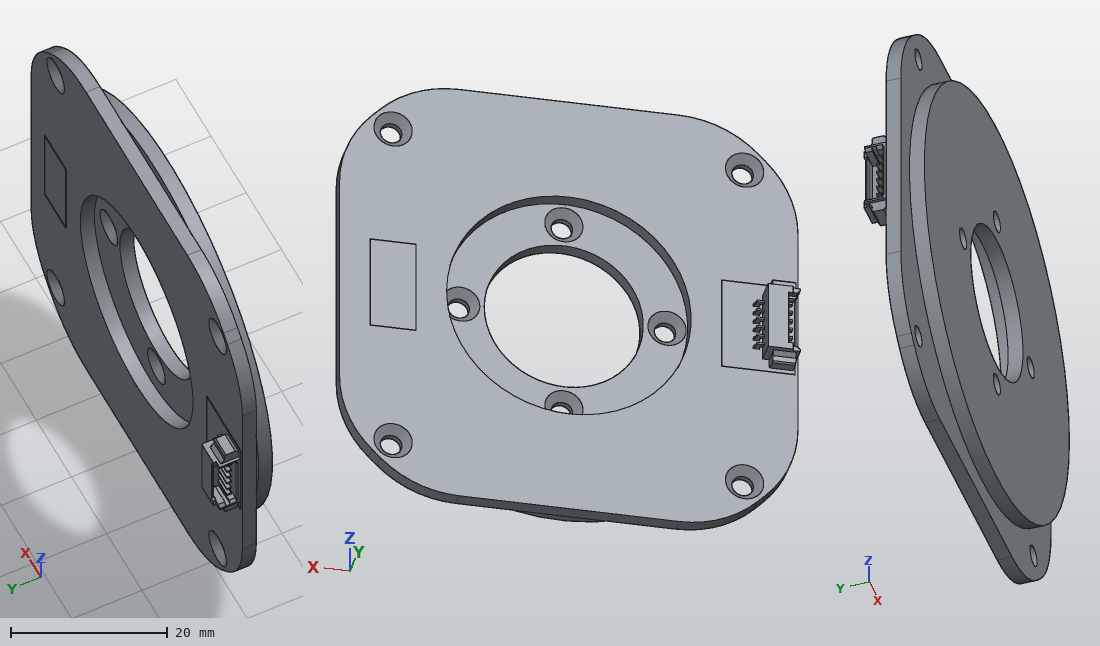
import cadquery as cq


disk_diameter = 58.0
disk_thickness = 2.0
disk_bore_diameter = 20.8
disk_hole_circle_radius = 13.5

plate_size = 60.0
plate_thickness = 2.0
plate_gap = 0.82
plate_front = disk_thickness + plate_gap
plate_back = plate_front + plate_thickness
corner_cut = 9.6
corner_fillet_radius = 14.5
plate_bore_diameter = 32.0
mount_hole_offset = 23.0

screw_hole_diameter = 2.8
countersink_diameter = 5.0
countersink_depth = (countersink_diameter - screw_hole_diameter) / 2

pad_height = 0.1
pad_width = 12.7
pad_inner_x = 20.0
far_pad_outer_x = 26.0
pad_top = plate_back + pad_height

housing_height = 3.33
housing_width = 9.25
housing_front_x = -29.6
housing_back_x = -25.3
housing_top = pad_top + housing_height
lip_depth = 1.0
lip_drop = 0.4
roof_setback = 1.6
roof_setback_width = 7.4

cavity_width = 7.9
cavity_depth = 3.3
cavity_bottom = pad_top + 0.5
cavity_top = housing_top - lip_drop
mouth_chamfer = 0.4
lip_chamfer = 0.2
key_bottom = pad_top + 1.4
key_height = 0.6
key_width = cavity_width + 2 * mouth_chamfer

tab_front_x = -29.2
tab_length = 3.0
tab_reach = 1.5
tab_height = 2.05
tab_corner = 0.2
tab_foot_rise = 0.5
tab_foot_inset = 0.5
tab_root_rise = 0.55

contact_count = 6
contact_pitch = 1.25
contact_width = 0.25
pin_height = 0.65
pin_bottom = pad_top + 0.9
pin_tip_x = -28.9
lead_top = pad_top + 1.25
lead_thickness = 0.6
lead_back_x = -24.3
foot_length = 0.2
foot_height = 0.45


def box(x_range, y_range, z_range):
    """Box between the given limits on each axis."""
    size = [high - low for low, high in (x_range, y_range, z_range)]
    return cq.Workplane("XY").box(*size, centered=False).translate((x_range[0], y_range[0], z_range[0]))


def centred(width):
    """Limits of a width centred on zero."""
    return -width / 2, width / 2


def cylinders(points, diameter, y_start, length):
    """Cylinders along +Y at (x, z) points."""
    return cq.Workplane("XZ", origin=(0, y_start, 0)).pushPoints(points).circle(diameter / 2).extrude(-length)


def screw_holes(points, front, back):
    """Cutters for screw holes with a 90 degree countersink at the back."""
    holes = cylinders(points, screw_hole_diameter, front, back - front)
    for x, z in points:
        countersink = cq.Solid.makeCone(
            screw_hole_diameter / 2,
            countersink_diameter / 2,
            countersink_depth,
            pnt=cq.Vector(x, back - countersink_depth, z),
            dir=cq.Vector(0, 1, 0),
        )
        holes = holes.union(cq.Workplane(countersink))
    return holes


def make_disk():
    """Round disk with a central bore and four screw holes around it."""
    r = disk_hole_circle_radius
    hole_points = [(r, 0), (0, r), (-r, 0), (0, -r)]
    disk = cylinders([(0, 0)], disk_diameter, 0, disk_thickness)
    disk = disk.cut(cylinders([(0, 0)], disk_bore_diameter, 0, disk_thickness))
    return disk.cut(screw_holes(hole_points, 0, disk_thickness))


def make_plate():
    """Square plate with blended corners, a bore, countersunk corner holes and raised areas on its back."""
    plate = box(centred(plate_size), (plate_front, plate_back), centred(plate_size))
    plate = plate.edges("|Y").chamfer(corner_cut)
    plate = plate.edges("|Y").fillet(corner_fillet_radius)
    plate = plate.union(box((housing_front_x, -pad_inner_x), (plate_back, pad_top), centred(pad_width)))
    plate = plate.union(box((pad_inner_x, far_pad_outer_x), (plate_back, pad_top), centred(pad_width)))
    m = mount_hole_offset
    hole_points = [(m, m), (-m, m), (-m, -m), (m, -m)]
    plate = plate.cut(screw_holes(hole_points, plate_front, plate_back))
    return plate.cut(cylinders([(0, 0)], plate_bore_diameter, plate_front, plate_thickness))


def make_housing():
    """Connector shell: stepped top, set-back roof and a cavity with a flared, keyed mouth."""
    front = housing_front_x
    shell = box((front, housing_back_x), (pad_top, housing_top), centred(housing_width))
    shell = shell.cut(box((front, front + lip_depth), (cavity_top, housing_top), centred(housing_width)))
    shell = shell.cut(box((front, front + roof_setback), (cavity_top, housing_top), centred(roof_setback_width)))

    cavity_y = (cavity_bottom, cavity_top)
    shell = shell.cut(box((front, front + cavity_depth), cavity_y, centred(cavity_width)))

    half_cavity = cavity_width / 2
    half_mouth = half_cavity + mouth_chamfer
    flare = (
        cq.Workplane("XZ", origin=(0, cavity_bottom, 0))
        .polyline([
            (front, -half_mouth),
            (front + mouth_chamfer, -half_cavity),
            (front + mouth_chamfer, half_cavity),
            (front, half_mouth),
        ])
        .close()
        .extrude(cavity_bottom - cavity_top)
    )
    shell = shell.cut(flare)

    for edge_x, edge_y, outward in [(front, cavity_bottom, -1), (front + roof_setback, cavity_top, 1)]:
        bevel = (
            cq.Workplane("XY", origin=(0, 0, -cavity_width / 2))
            .polyline([
                (edge_x, edge_y),
                (edge_x + lip_chamfer, edge_y),
                (edge_x, edge_y + outward * lip_chamfer),
            ])
            .close()
            .extrude(cavity_width)
        )
        shell = shell.cut(bevel)

    key_y = (key_bottom, key_bottom + key_height)
    return shell.cut(box((front, front + cavity_depth), key_y, centred(key_width)))


def make_tabs():
    """Solder tabs on the two ends, with chamfered corners and a sloped root."""
    root = housing_width / 2
    tip = root + tab_reach
    top = pad_top + tab_height
    profile = [
        (pad_top, root),
        (pad_top, tip - tab_foot_inset),
        (pad_top + tab_foot_rise, tip),
        (top - tab_corner, tip),
        (top, tip - tab_corner),
        (top, root + tab_root_rise),
        (top + tab_root_rise, root),
    ]
    tab = (
        cq.Workplane("YZ", origin=(tab_front_x, 0, 0))
        .polyline(profile)
        .close()
        .extrude(tab_length)
    )
    return tab.union(tab.mirror("XY"))


def make_contact(z):
    """Pin in the cavity and bent solder lead behind the housing, centred at height z."""
    z_range = (z - contact_width / 2, z + contact_width / 2)
    cavity_end_x = housing_front_x + cavity_depth
    pin = box((pin_tip_x, cavity_end_x), (pin_bottom, pin_bottom + pin_height), z_range)
    lead = (
        cq.Workplane("XY", origin=(0, 0, z_range[0]))
        .polyline([
            (housing_back_x, lead_top),
            (lead_back_x, lead_top),
            (lead_back_x, pad_top + foot_height),
            (lead_back_x + foot_length, pad_top + foot_height),
            (lead_back_x + foot_length, pad_top),
            (lead_back_x - lead_thickness, pad_top),
            (lead_back_x - lead_thickness, lead_top - lead_thickness),
            (housing_back_x, lead_top - lead_thickness),
        ])
        .close()
        .extrude(contact_width)
    )
    return pin, lead


def make_connector():
    """Connector as one solid: shell, solder tabs and contacts."""
    connector = make_housing().union(make_tabs())
    for index in range(contact_count):
        z = (index - (contact_count - 1) / 2) * contact_pitch
        for piece in make_contact(z):
            connector = connector.union(piece)
    return connector


disk = make_disk()
plate = make_plate()
connector = make_connector()

result = cq.Compound.makeCompound([disk.val(), plate.val(), connector.val()])